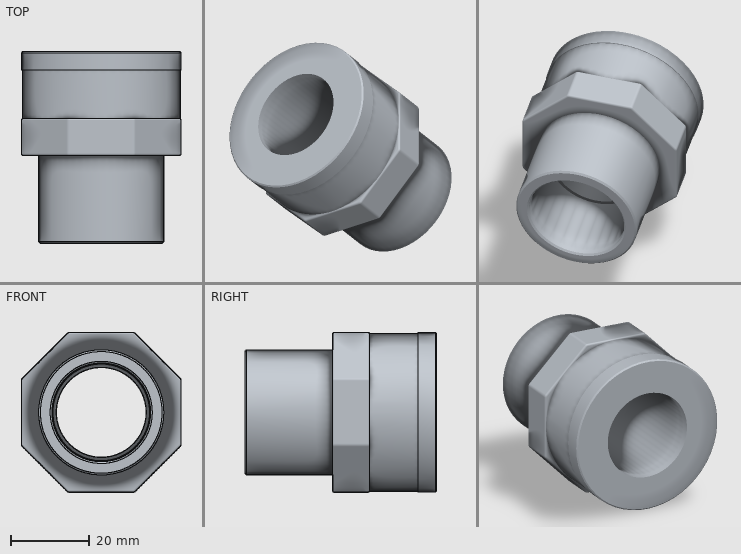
import cadquery as cq

spigot_length = 22.5
nut_width = 9.5
sleeve_length = 12.45
ring_width = 4.75
nut_start = spigot_length
nut_middle = nut_start + nut_width / 2
nut_end = nut_start + nut_width
ring_start = nut_end + sleeve_length
total_length = ring_start + ring_width

nut_across_flats = 41.0
nut_sides = 8
nut_corner_radius = 1.0
nut_edge_radius = 0.5

spigot_diameter = 32.1
sleeve_diameter = 40.5
ring_diameter = 40.95
ring_seat_diameter = 36.0

socket_mouth_diameter = 25.3
socket_bottom_diameter = 24.8
socket_depth = 19.0
bore_diameter = 23.0

spigot_edge_chamfer = 0.45
socket_edge_chamfer = 0.45
ring_edge_chamfer = 0.35


def cylinder(diameter, start, end):
    """Solid cylinder on the Y axis between two Y stations."""
    return (
        cq.Workplane("XZ", origin=(0, start, 0))
        .circle(diameter / 2)
        .extrude(start - end)
    )


def make_nut():
    """Octagonal prism with flats facing X and Z and all edges rounded."""
    prism = (
        cq.Workplane("XZ", origin=(0, nut_start, 0))
        .polygon(nut_sides, nut_across_flats, circumscribed=True)
        .extrude(-nut_width)
    )
    prism = prism.edges("|Y").fillet(nut_corner_radius)
    return prism.faces("<Y or >Y").edges().fillet(nut_edge_radius)


def make_bore():
    """Cutter for the chamfered, tapered socket and the through bore."""
    mouth_radius = socket_mouth_diameter / 2
    profile = [
        (0, 0),
        (mouth_radius + socket_edge_chamfer, 0),
        (mouth_radius, socket_edge_chamfer),
        (socket_bottom_diameter / 2, socket_depth),
        (bore_diameter / 2, socket_depth),
        (bore_diameter / 2, total_length),
        (0, total_length),
    ]
    return cq.Workplane("XY").polyline(profile).close().revolve(360, (0, 0), (0, 1))


def make_housing():
    """Spigot, nut and sleeve in one piece, with a neck that carries the ring."""
    spigot = cylinder(spigot_diameter, 0, nut_end)
    spigot = spigot.faces("<Y").edges().chamfer(spigot_edge_chamfer)
    sleeve = cylinder(sleeve_diameter, nut_middle, ring_start)
    neck = cylinder(ring_seat_diameter, nut_end, total_length)
    return make_nut().union(spigot).union(sleeve).union(neck).cut(make_bore())


def make_ring():
    """Reinforcing ring around the neck, chamfered on its outer end edge."""
    disc = cylinder(ring_diameter, ring_start, total_length)
    disc = disc.faces(">Y").edges().chamfer(ring_edge_chamfer)
    return disc.cut(cylinder(ring_seat_diameter, ring_start, total_length))


housing = make_housing()
ring = make_ring()

result = cq.Compound.makeCompound([housing.solids().val(), ring.solids().val()])